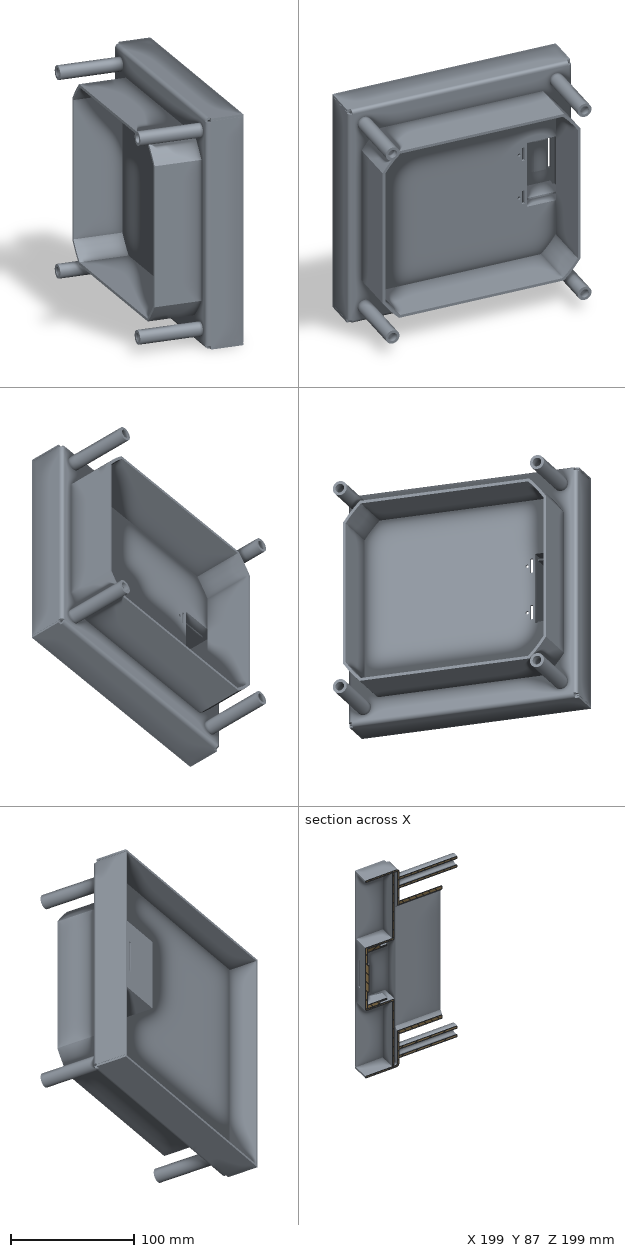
import cadquery as cq
import math

SIZE = 199.0
HALF = SIZE / 2
SHEET = 2.0
HOUSING_DEPTH = 32.0
BEND_RADIUS = 3.2
RELIEF_DEPTH = 4.0
WALL_GAP = 0.2

COLLAR_HALF_WIDTH = 88.2
COLLAR_HALF_HEIGHT = 77.8
COLLAR_RADIUS = 107.0
COLLAR_WALL = 2.4
COLLAR_LENGTH = 41.0

STANDOFF_OFFSET = 85.5
STANDOFF_DIAMETER = 12.1
STANDOFF_BORE = 7.4
STANDOFF_LENGTH = 55.0

PANEL_FRONT_Y = 4.5
PANEL_SIZE = SIZE - 2 * SHEET
SLOT_WIDTH = 2.4
SLOT_LENGTH = 12.1
SLOT_CENTRE_Z = 20.0
PIN_HOLE_X = 54.3
PIN_HOLE_DIAMETER = 2.8

TUB_LEFT = 59.3
TUB_RIGHT = HALF - SHEET
TUB_HALF_HEIGHT = 31.8
TUB_FLOOR_Y = HOUSING_DEPTH - SHEET
TUB_INNER_LEFT = TUB_LEFT + SHEET
TUB_INNER_HALF_HEIGHT = TUB_HALF_HEIGHT - SHEET

PAD_HALF_HEIGHT = 14.0
PAD_LEFT = 67.9
PAD_STEP_X = 78.6
PAD_RIGHT = 89.4
PAD_LOW_HEIGHT = 0.8
PAD_HIGH_HEIGHT = 1.5
SLIT_LEFT = 91.7
SLIT_RIGHT = 94.0

RAIL_INNER_Z = 26.3
RAIL_THICKNESS = 1.5
RAIL_FRONT_Y = 11.5
RAIL_FRONT_RIGHT = 90.7
RAIL_BACK_RIGHT = 94.0
RAIL_OUTER_Z = RAIL_INNER_Z + RAIL_THICKNESS
FOOT_FRONT_Y = 18.0
RAIL_FEET = [(64.9, 66.9), (81.8, 85.0)]


def box(x_range, y_range, z_range):
    """Box between the given limits on each axis."""
    lows, highs = zip(x_range, y_range, z_range)
    lengths = [high - low for low, high in zip(lows, highs)]
    return cq.Workplane("XY").box(*lengths, centered=False).translate(lows)


def prism_y(outline, y_start, y_end):
    """Extrude an outline drawn on the XZ plane from y_start to y_end."""
    return outline.extrude(y_start - y_end).translate((0, y_start, 0))


def trimmed_rectangle(inset, y_start, y_end):
    """Collar outline, moved inward by inset, as a solid between two Y positions."""
    half_width = COLLAR_HALF_WIDTH - inset
    half_height = COLLAR_HALF_HEIGHT - inset
    radius = COLLAR_RADIUS - inset
    flat_x = math.sqrt(radius**2 - half_height**2)
    flat_z = math.sqrt(radius**2 - half_width**2)
    mid = radius * math.sin(math.radians(45))
    outline = (
        cq.Workplane("XZ")
        .moveTo(-flat_x, half_height)
        .lineTo(flat_x, half_height)
        .threePointArc((mid, mid), (half_width, flat_z))
        .lineTo(half_width, -flat_z)
        .threePointArc((mid, -mid), (flat_x, -half_height))
        .lineTo(-flat_x, -half_height)
        .threePointArc((-mid, -mid), (-half_width, -flat_z))
        .lineTo(-half_width, flat_z)
        .threePointArc((-mid, mid), (-flat_x, half_height))
        .close()
    )
    return prism_y(outline, y_start, y_end)


def make_housing():
    inner_half = HALF - SHEET
    shell = box((-HALF, HALF), (0, HOUSING_DEPTH), (-HALF, HALF)).faces("<Y").edges().fillet(BEND_RADIUS)
    cavity = box((-inner_half, inner_half), (SHEET, HOUSING_DEPTH), (-inner_half, inner_half))
    cavity = cavity.faces("<Y").edges().fillet(BEND_RADIUS - SHEET)
    shell = shell.cut(cavity)
    relief_centre = HALF - BEND_RADIUS / 2
    reliefs = (
        cq.Workplane("XZ")
        .rect(2 * relief_centre, 2 * relief_centre, forConstruction=True)
        .vertices()
        .rect(BEND_RADIUS, BEND_RADIUS)
        .extrude(-RELIEF_DEPTH)
    )
    opening = trimmed_rectangle(COLLAR_WALL, 0, SHEET)
    shell = shell.cut(reliefs).cut(opening)
    for x_start in (-HALF, inner_half):
        for z_start in (-inner_half, inner_half - WALL_GAP):
            gap = box(
                (x_start, x_start + SHEET),
                (RELIEF_DEPTH, HOUSING_DEPTH),
                (z_start, z_start + WALL_GAP),
            )
            shell = shell.cut(gap)
    return shell


def make_collar():
    outside = trimmed_rectangle(0, -COLLAR_LENGTH, 0)
    inside = trimmed_rectangle(COLLAR_WALL, -COLLAR_LENGTH, 0)
    return outside.cut(inside)


def make_standoff(x, z):
    ring = cq.Workplane("XZ").circle(STANDOFF_DIAMETER / 2).circle(STANDOFF_BORE / 2)
    return prism_y(ring, -STANDOFF_LENGTH, 0).translate((x, 0, z))


def make_panel():
    half = PANEL_SIZE / 2
    depth = (PANEL_FRONT_Y, PANEL_FRONT_Y + SHEET)
    panel = box((-half, half), depth, (-half, half))
    panel = panel.cut(box((TUB_LEFT, half), depth, (-TUB_HALF_HEIGHT, TUB_HALF_HEIGHT)))
    for side in (-1, 1):
        centre_z = side * SLOT_CENTRE_Z
        slot_z = (centre_z - SLOT_LENGTH / 2, centre_z + SLOT_LENGTH / 2)
        slot = box((TUB_LEFT - SLOT_WIDTH, TUB_LEFT), depth, slot_z)
        circle = cq.Workplane("XZ").center(PIN_HOLE_X, centre_z).circle(PIN_HOLE_DIAMETER / 2)
        panel = panel.cut(slot).cut(prism_y(circle, *depth))
    return panel


def make_tub():
    pad_z = (-PAD_HALF_HEIGHT, PAD_HALF_HEIGHT)
    tub = box((TUB_LEFT, TUB_RIGHT), (PANEL_FRONT_Y, HOUSING_DEPTH), (-TUB_HALF_HEIGHT, TUB_HALF_HEIGHT))
    inside_z = (-TUB_INNER_HALF_HEIGHT, TUB_INNER_HALF_HEIGHT)
    tub = tub.cut(box((TUB_INNER_LEFT, TUB_RIGHT), (PANEL_FRONT_Y, TUB_FLOOR_Y), inside_z))
    tub = tub.union(box((PAD_LEFT, PAD_STEP_X), (TUB_FLOOR_Y - PAD_LOW_HEIGHT, TUB_FLOOR_Y), pad_z))
    tub = tub.union(box((PAD_STEP_X, PAD_RIGHT), (TUB_FLOOR_Y - PAD_HIGH_HEIGHT, TUB_FLOOR_Y), pad_z))
    return tub.cut(box((SLIT_LEFT, SLIT_RIGHT), (TUB_FLOOR_Y, HOUSING_DEPTH), pad_z))


def make_rail():
    """Upper rail; its +X end slants outward toward the tub floor."""
    rail = (
        cq.Workplane("XY", origin=(0, 0, RAIL_INNER_Z))
        .moveTo(TUB_INNER_LEFT, RAIL_FRONT_Y)
        .lineTo(RAIL_FRONT_RIGHT, RAIL_FRONT_Y)
        .lineTo(RAIL_BACK_RIGHT, TUB_FLOOR_Y)
        .lineTo(TUB_INNER_LEFT, TUB_FLOOR_Y)
        .close()
        .extrude(RAIL_THICKNESS)
    )
    for foot_x in RAIL_FEET:
        foot = box(foot_x, (FOOT_FRONT_Y, TUB_FLOOR_Y), (RAIL_OUTER_Z, TUB_INNER_HALF_HEIGHT))
        rail = rail.union(foot)
    return rail


housing = make_housing()
collar = make_collar()
panel = make_panel()
tub = make_tub()

standoffs = []
for x_side in (-1, 1):
    for z_side in (-1, 1):
        standoffs.append(make_standoff(x_side * STANDOFF_OFFSET, z_side * STANDOFF_OFFSET))

upper_rail = make_rail()
rails = [upper_rail, upper_rail.mirror("XY")]

bodies = [housing, collar, panel, tub, *standoffs, *rails]
result = cq.Compound.makeCompound([body.solids().val() for body in bodies])